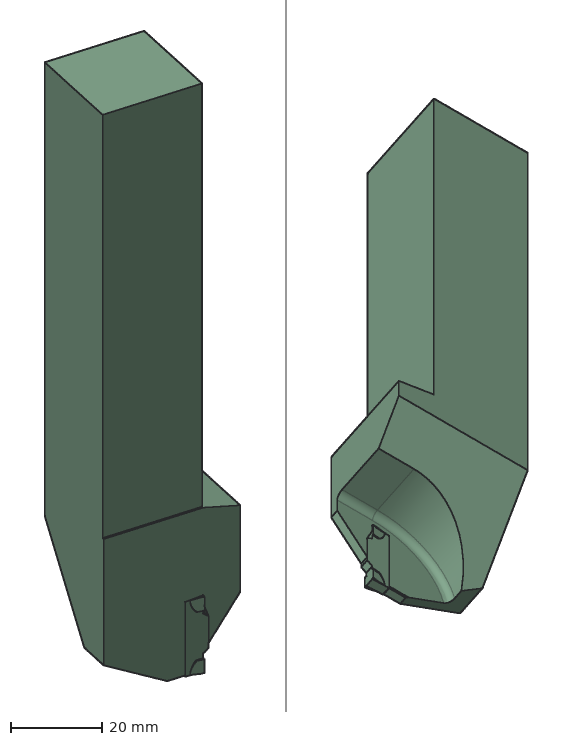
import cadquery as cq

shank_width = 25.0
shank_depth = 25.3
total_height = 152.4

head_right = 25.5
head_depth = 34.7
head_top = 42.7
lug_top = 40.2
lug_bottom = 17.8
blade_bottom = 0.6
blade_tip_y = 25.0
blade_tip_z = 4.9
heel_y = 16.2
heel_z = 9.9

taper_top = 34.7
taper_end_x = 16.9
taper_end_z = 10.0

blade_left = 23.2
clearance_radius = 21.5
clearance_y = shank_depth
clearance_z = 2.1
clearance_fillet = 1.8

insert_height = 20.0
insert_mid = insert_height / 2
insert_back = 20.7
insert_edge = shank_depth
insert_bulge = 26.7
bulge_half = 4.1
bulge_root_half = 5.2
end_relief = 0.3
edge_gap_top = 17.8

insert_right = 26.0
cutting_width = 3.2
nose_radius = 0.3
head_length = 3.7
head_arc_start_y = 23.5
head_arc_mid = (22.63, 2.6)
head_root_y = 22.0

cut_margin = 7.6


def side_prism(points, left, right):
    """Close a (Y, Z) outline and extrude it along X from left to right."""
    outline = cq.Workplane("YZ", origin=(left, 0, 0)).polyline(points).close()
    return outline.extrude(right - left)


def make_blank():
    """Straight shank with the wider lug-shaped head."""
    shank = cq.Workplane("XY", origin=(0, 0, head_top)).rect(shank_width, shank_depth, centered=False)
    shank = shank.extrude(total_height - head_top)
    head = side_prism(
        [
            (0, heel_z),
            (0, head_top),
            (shank_depth, head_top),
            (head_depth, lug_top),
            (head_depth, lug_bottom),
            (blade_tip_y, blade_tip_z),
            (blade_tip_y, blade_bottom),
            (heel_y, blade_bottom),
        ],
        0,
        head_right,
    )
    return shank.union(head)


def make_taper_cut():
    """Wedge below the slanted left flank."""
    slope = taper_end_x / (taper_top - taper_end_z)
    bottom = -cut_margin
    bottom_x = slope * (taper_top - bottom)
    wedge = cq.Workplane("XZ", origin=(0, -cut_margin, 0))
    wedge = wedge.polyline([(0, taper_top), (bottom_x, bottom), (-cut_margin, bottom), (-cut_margin, taper_top)])
    return wedge.close().extrude(-(head_depth + 2 * cut_margin))


def make_clearance_cut():
    """Round-walled clearance beside the blade, filleted at its floor."""
    end_y = head_depth + cut_margin
    top = clearance_z + clearance_radius
    bottom = clearance_z - clearance_radius
    cut = (
        cq.Workplane("YZ", origin=(-cut_margin, 0, 0))
        .moveTo(end_y, top)
        .lineTo(clearance_y, top)
        .threePointArc((clearance_y - clearance_radius, clearance_z), (clearance_y, bottom))
        .lineTo(end_y, bottom)
        .close()
        .extrude(blade_left + cut_margin)
    )
    return cut.faces(">X").edges().fillet(clearance_fillet)


def make_seat_cut():
    """Seat for the insert, open downwards, with a gap behind the idle cutting edge."""
    bulge_top = insert_mid + bulge_half
    return side_prism(
        [
            (insert_back, -cut_margin),
            (insert_back, insert_height - end_relief),
            (insert_edge, insert_height),
            (insert_edge, edge_gap_top),
            (insert_bulge, bulge_top),
            (insert_bulge, -cut_margin),
        ],
        0,
        head_right + cut_margin,
    )


def make_holder():
    holder = make_blank().cut(make_taper_cut())
    return holder.cut(make_clearance_cut()).cut(make_seat_cut())


def make_cutting_head():
    """Lower cutting head: widest at the edge, narrowing to the blade width behind it."""
    center_x = insert_right - cutting_width / 2
    outline = (
        cq.Workplane("YZ")
        .moveTo(insert_edge, 0)
        .lineTo(insert_edge, head_length)
        .lineTo(head_arc_start_y, head_length)
        .threePointArc(head_arc_mid, (head_root_y, end_relief))
        .close()
        .extrude(insert_right + cut_margin)
    )
    side_relief = cq.Workplane("XY").polyline(
        [
            (center_x - cutting_width / 2, insert_edge),
            (insert_right, insert_edge),
            (head_right, head_root_y),
            (blade_left, head_root_y),
        ]
    )
    side_relief = side_relief.close().extrude(insert_height)
    nose = cq.Workplane("XY").box(cutting_width, insert_edge, insert_height, centered=(True, False, False))
    nose = nose.translate((center_x, 0, 0)).edges("|Y and <Z").fillet(nose_radius)
    return outline.intersect(side_relief).intersect(nose)


def make_insert():
    body = side_prism(
        [
            (insert_back, end_relief),
            (insert_edge, 0),
            (insert_edge, insert_mid - bulge_root_half),
            (insert_bulge, insert_mid - bulge_half),
            (insert_bulge, insert_mid + bulge_half),
            (insert_edge, insert_mid + bulge_root_half),
            (insert_edge, insert_height),
            (insert_back, insert_height - end_relief),
        ],
        blade_left,
        head_right,
    )
    lower_head = make_cutting_head()
    upper_head = lower_head.mirror("XY", (0, 0, insert_mid))
    return body.union(lower_head).union(upper_head)


holder = make_holder()
insert = make_insert()
result = cq.Compound.makeCompound([holder.val(), insert.val()])